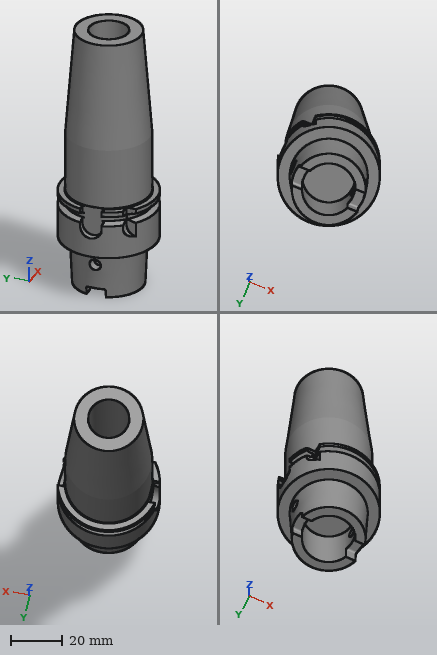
import cadquery as cq

flange_radius = 20.0
flange_height = 20.0
nose_height = 90.0
sleeve_radius = 17.0
sleeve_height = 45.5
nose_tip_radius = 13.5
bore_radius = 8.0
bore_depth = 44.0

collar_radius = sleeve_radius + 0.2
collar_height = 0.3

groove_radius = 17.3
groove_bottom = 15.0
groove_top = 17.0
groove_flank_height = 1.0

shank_length = 20.0
shank_radius = 15.3
shank_end_radius = 14.4
shank_bore_radius = 10.5
cross_hole_radius = 2.3
cross_hole_depth = 5.9

notch_width = 8.1
notch_height = 3.5
deep_notch_height = 6.2
notch_corner_radius = 0.9

slot_bottom = 8.0
slot_width = 9.0
wide_slot_width = 10.9
slot_floor = 16.8
wide_slot_floor = 16.9
corner_slot_offset = 12.1


def turned_body():
    """Solid of revolution from the shank end to the nose tip."""
    profile = [
        (0, -shank_length),
        (shank_end_radius, -shank_length),
        (shank_radius, 0),
        (flange_radius, 0),
        (flange_radius, groove_bottom - groove_flank_height),
        (groove_radius, groove_bottom),
        (groove_radius, groove_top),
        (flange_radius, groove_top + groove_flank_height),
        (flange_radius, flange_height),
        (collar_radius, flange_height),
        (collar_radius, flange_height + collar_height),
        (sleeve_radius, flange_height + collar_height),
        (sleeve_radius, sleeve_height),
        (nose_tip_radius, nose_height),
        (0, nose_height),
    ]
    return cq.Workplane("XZ").polyline(profile).close().revolve(360, (0, 0), (0, 1))


def tool_bore():
    """Blind bore that clamps the tool, sunk from the nose tip."""
    return cq.Workplane("XY").workplane(offset=nose_height - bore_depth).circle(bore_radius).extrude(bore_depth)


def shank_bore():
    """Blind bore that makes the shank hollow up to the flange face."""
    return cq.Workplane("XY").workplane(offset=-shank_length).circle(shank_bore_radius).extrude(shank_length)


def flange_slot(width, floor, side, y_center=0.0):
    """Round-bottomed slot open upward, cut in from the rim to a flat floor at X = side * floor."""
    radius = width / 2
    center_height = slot_bottom + radius
    top = flange_height + collar_height
    return (
        cq.Workplane("YZ", origin=(side * floor, y_center, 0))
        .moveTo(-radius, top)
        .lineTo(-radius, center_height)
        .threePointArc((0, slot_bottom), (radius, center_height))
        .lineTo(radius, top)
        .close()
        .extrude(side * flange_radius)
    )


def drive_notch(height, side):
    """Rounded-corner notch from the shank axis out through one side of the shank end."""
    return (
        cq.Workplane("XY")
        .box(flange_radius, notch_width, height, centered=(True, True, False))
        .edges("|X and >Z")
        .fillet(notch_corner_radius)
        .translate((side * flange_radius / 2, 0, -shank_length))
    )


def cross_hole():
    """Hole across the shank along X."""
    return (
        cq.Workplane("YZ", origin=(-flange_radius, 0, -cross_hole_depth))
        .circle(cross_hole_radius)
        .extrude(2 * flange_radius)
    )


result = (
    turned_body()
    .cut(tool_bore())
    .cut(shank_bore())
    .cut(flange_slot(slot_width, slot_floor, -1))
    .cut(flange_slot(wide_slot_width, wide_slot_floor, 1))
    .cut(flange_slot(slot_width, corner_slot_offset, -1, -corner_slot_offset - slot_width / 2))
    .cut(drive_notch(notch_height, -1))
    .cut(drive_notch(deep_notch_height, 1))
    .cut(cross_hole())
)